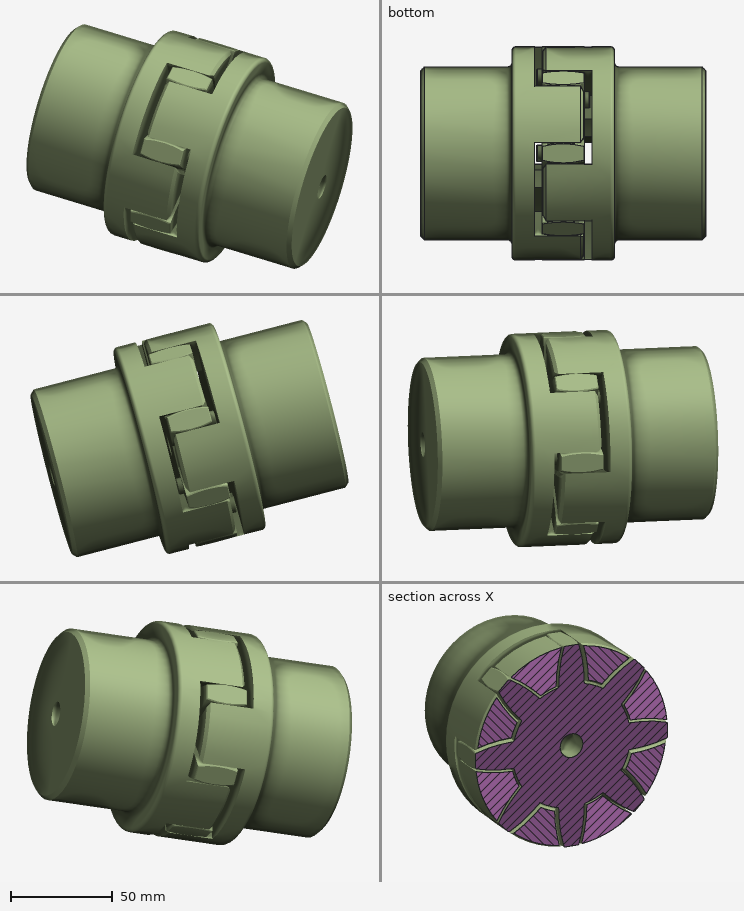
import cadquery as cq
import math


length = 140.0
flange_outer_x = 25.2
jaw_root_x = 14.0
jaw_tip_x = 10.0
spider_half_width = 10.5

outer_diameter = 104.9
outer_radius = outer_diameter / 2
barrel_radius = 42.5
bore_radius = 6.0
end_chamfer = 2.0
hub_fillet = 2.0

jaws_per_hub = 4
leg_count = 2 * jaws_per_hub
leg_pitch = 360.0 / leg_count
first_jaw_angle = 1.5 * leg_pitch
jaw_inner_radius = 33.0
pocket_half_inner = 8.3
pocket_half_outer = 5.3
jaw_chamfer = 1.5

cutter_radius = outer_radius + 14.0

ring_radius = 32.2
leg_clearance = 0.1
leg_crown = 1.3
leg_tip_chamfer = 0.4
stud_radius = 4.0
stud_orbit = 37.2
stud_height = 2.7
stud_chamfer = 0.4

flank_inner = math.sqrt(jaw_inner_radius**2 - pocket_half_inner**2)
flank_outer = math.sqrt(outer_radius**2 - pocket_half_outer**2)


def pocket_half_width(along):
    """Half width of a pocket: parallel at the jaw's inner edge, narrowing parabolically outward."""
    t = (along - flank_inner) / (flank_outer - flank_inner)
    return pocket_half_inner - (pocket_half_inner - pocket_half_outer) * t**2


flank_middle = (flank_inner + flank_outer) / 2
flank_stations = [flank_inner, flank_middle, flank_outer]


def turned(point, degrees):
    """Rotate a (Y, Z) point about the coupling axis."""
    a = math.radians(degrees)
    y, z = point
    return (y * math.cos(a) - z * math.sin(a), y * math.sin(a) + z * math.cos(a))


def make_jaw_blank():
    """Plan of one jaw centred on +Y, running outward past the hub's outer radius."""
    lower = [turned((s, pocket_half_width(s)), -leg_pitch / 2) for s in flank_stations]
    upper = [(y, -z) for y, z in lower]
    return (
        cq.Workplane("YZ", origin=(-jaw_root_x, 0, 0))
        .moveTo(*lower[0])
        .threePointArc(lower[1], lower[2])
        .lineTo(cutter_radius, lower[2][1])
        .lineTo(cutter_radius, upper[2][1])
        .lineTo(*upper[2])
        .threePointArc(upper[1], upper[0])
        .threePointArc((jaw_inner_radius, 0), lower[0])
        .close()
        .extrude(jaw_root_x + jaw_tip_x)
    )


def make_hub_blank():
    """Turned -X hub before its jaws are cut: barrel, and flange reaching to the jaw tips."""
    barrel_length = length / 2 - flange_outer_x
    flange = (
        cq.Workplane("YZ", origin=(-flange_outer_x, 0, 0))
        .circle(outer_radius)
        .extrude(flange_outer_x + jaw_tip_x)
        .faces("<X")
        .fillet(hub_fillet)
    )
    barrel = (
        cq.Workplane("YZ", origin=(-length / 2, 0, 0))
        .circle(barrel_radius)
        .extrude(barrel_length)
        .faces("<X")
        .chamfer(end_chamfer)
    )
    blank = flange.union(barrel)

    shoulder = cq.selectors.NearestToPointSelector((-flange_outer_x, 0, 0))
    return blank.faces(shoulder).edges(cq.selectors.RadiusNthSelector(0)).fillet(hub_fillet)


def make_hub():
    """The -X hub: bored barrel and flange with jaws reaching past the middle plane."""
    jaw_gaps = (
        cq.Workplane("YZ", origin=(-jaw_root_x, 0, 0))
        .circle(cutter_radius)
        .extrude(jaw_root_x + jaw_tip_x)
    )
    jaw = make_jaw_blank()
    for i in range(jaws_per_hub):
        angle = first_jaw_angle + i * 2 * leg_pitch
        jaw_gaps = jaw_gaps.cut(jaw.rotate((0, 0, 0), (1, 0, 0), angle))

    hub = make_hub_blank().cut(jaw_gaps)
    hub = hub.faces(">X").chamfer(jaw_chamfer)
    bore = cq.Workplane("YZ", origin=(-length / 2, 0, 0)).circle(bore_radius).extrude(length / 2)
    return hub.cut(bore)


def make_leg():
    """One spider leg along +Y, its flanks following the pocket and crowned along X."""
    crown_radius = (spider_half_width**2 + leg_crown**2) / (2 * leg_crown)
    leg_middle = (flank_inner + outer_radius) / 2
    leg_stations = [flank_inner, leg_middle, outer_radius]
    widths = [pocket_half_width(s) - leg_clearance for s in leg_stations]
    axis_offset = widths[0] - crown_radius

    flank = (
        cq.Workplane("YZ")
        .moveTo(0, axis_offset)
        .lineTo(0, widths[0])
        .lineTo(flank_inner, widths[0])
        .threePointArc((leg_middle, widths[1]), (outer_radius, widths[2]))
        .lineTo(outer_radius, axis_offset)
        .close()
        .revolve(360, (0, axis_offset, 0), (1, axis_offset, 0))
    )
    slab = (
        cq.Workplane("XY")
        .box(2 * spider_half_width, outer_radius, 2 * pocket_half_inner)
        .translate((0, outer_radius / 2, 0))
    )
    leg = slab.intersect(flank).intersect(flank.mirror("XY"))
    return leg.faces(">Y").chamfer(leg_tip_chamfer)


def make_stud():
    """Spacer stud on the -X side of a leg lying along +Y."""
    stud = (
        cq.Workplane("YZ", origin=(-spider_half_width, 0, 0))
        .center(stud_orbit, 0)
        .circle(stud_radius)
        .extrude(-stud_height)
    )
    return stud.faces("<X").chamfer(stud_chamfer)


def make_spider():
    """Ring with crowned legs; studs alternate between its two sides."""
    spider = (
        cq.Workplane("YZ", origin=(-spider_half_width, 0, 0))
        .circle(ring_radius)
        .extrude(2 * spider_half_width)
    )
    leg = make_leg()
    stud = make_stud()
    for i in range(leg_count):
        angle = i * leg_pitch
        side_stud = stud if i % 2 == 0 else stud.mirror("YZ")
        spider = spider.union(leg.rotate((0, 0, 0), (1, 0, 0), angle))
        spider = spider.union(side_stud.rotate((0, 0, 0), (1, 0, 0), angle))
    bore = cq.Workplane("YZ", origin=(-length / 2, 0, 0)).circle(bore_radius).extrude(length)
    return spider.cut(bore)


left_hub = make_hub()
right_hub = left_hub.rotate((0, 0, 0), (0, 1, 0), 180)
spider = make_spider()

bodies = [left_hub, right_hub, spider]
result = cq.Compound.makeCompound([body.solids().val() for body in bodies])